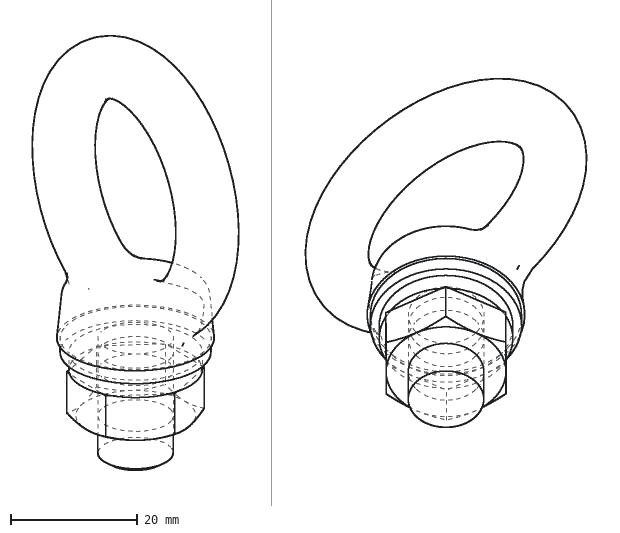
import cadquery as cq
import math

total_height = 73.0

ring_outer_diameter = 50.0
rod_diameter = 10.0
rod_radius = rod_diameter / 2
ring_radius = (ring_outer_diameter - rod_diameter) / 2
ring_center_z = total_height - ring_outer_diameter / 2
collar_base_radius = 12.5
collar_top_radius = 11.6
collar_edge_z = 31.1
collar_top_slope = math.radians(9)
collar_edge_fillet = 2.0
ring_blend_radius = 6.0
shank_radius = 6.0
shank_dome_height = 2.1

flat_washer_radius = 12.0
flat_washer_thickness = 2.5
spring_washer_radius = 10.6
spring_washer_thickness = 3.1
nut_width = 19.0
nut_height = 7.95
nut_chamfer_angle = math.radians(30)

nut_bottom_z = 8.7
nut_top_z = nut_bottom_z + nut_height
spring_washer_top_z = nut_top_z + spring_washer_thickness
collar_base_z = spring_washer_top_z + flat_washer_thickness


def make_ring():
    """Upright round-section ring lying in the XZ plane."""
    return cq.Workplane(
        cq.Solid.makeTorus(ring_radius, rod_radius, cq.Vector(0, 0, ring_center_z), cq.Vector(0, 1, 0))
    )


def make_collar():
    """Tapered collar with a shallow conical top and a rounded top edge."""
    apex_z = collar_edge_z + collar_top_radius * math.tan(collar_top_slope)
    collar = (
        cq.Workplane("XZ")
        .moveTo(0, collar_base_z)
        .lineTo(collar_base_radius, collar_base_z)
        .lineTo(collar_top_radius, collar_edge_z)
        .lineTo(0, apex_z)
        .close()
        .revolve(360, (0, 0, 0), (0, 1, 0))
    )
    top_edge = collar.edges("%CIRCLE").edges(">Z")
    return top_edge.fillet(collar_edge_fillet)


def make_shank():
    """Round shank below the collar, ending in a domed tip."""
    return (
        cq.Workplane("XZ")
        .lineTo(0, collar_base_z)
        .lineTo(shank_radius, collar_base_z)
        .lineTo(shank_radius, shank_dome_height)
        .radiusArc((0, 0), (shank_radius**2 + shank_dome_height**2) / (2 * shank_dome_height))
        .close()
        .revolve(360, (0, 0, 0), (0, 1, 0))
    )


def on_ring_surface(point):
    """True where a point lies on the skin of the ring."""
    tolerance = 0.01
    from_center_line = math.hypot(math.hypot(point.x, point.z - ring_center_z) - ring_radius, point.y)
    return abs(from_center_line - rod_radius) < tolerance


def make_eye_bolt():
    """Ring blended into the collar, with the shank in one piece."""
    head = make_ring().union(make_collar())
    junction_edges = head.edges().filter(
        lambda edge: edge.geomType() == "BSPLINE" and on_ring_surface(edge.positionAt(0.4))
    )
    return junction_edges.fillet(ring_blend_radius).union(make_shank())


def make_washer(outer_radius, thickness, bottom_z):
    """Plain ring that fits around the shank."""
    return cq.Workplane("XY", origin=(0, 0, bottom_z)).circle(outer_radius).circle(shank_radius).extrude(thickness)


def make_nut():
    """Hexagon nut with its corners chamfered conically at the lower end."""
    corner_radius = nut_width / 2 / math.cos(math.pi / 6)
    chamfer_height = (corner_radius - nut_width / 2) * math.tan(nut_chamfer_angle)
    hexagon = (
        cq.Workplane("XY", origin=(0, 0, nut_bottom_z))
        .polygon(6, 2 * corner_radius)
        .circle(shank_radius)
        .extrude(nut_height)
    )
    chamfer_envelope = (
        cq.Workplane("XZ")
        .moveTo(0, nut_bottom_z)
        .lineTo(nut_width / 2, nut_bottom_z)
        .lineTo(corner_radius, nut_bottom_z + chamfer_height)
        .lineTo(corner_radius, nut_top_z)
        .lineTo(0, nut_top_z)
        .close()
        .revolve(360, (0, 0, 0), (0, 1, 0))
    )
    return hexagon.intersect(chamfer_envelope)


eye_bolt = make_eye_bolt().solids()
flat_washer = make_washer(flat_washer_radius, flat_washer_thickness, spring_washer_top_z)
spring_washer = make_washer(spring_washer_radius, spring_washer_thickness, nut_top_z)
nut = make_nut().solids()

result = cq.Compound.makeCompound([eye_bolt.val(), flat_washer.val(), spring_washer.val(), nut.val()])